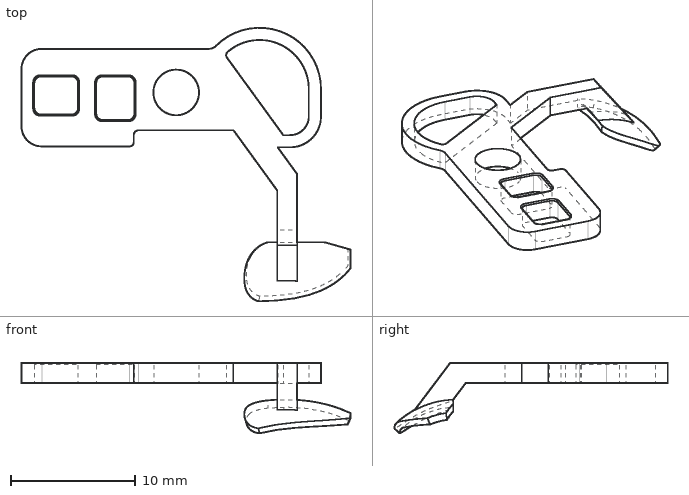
import cadquery as cq
import math

THICKNESS = 1.65
PLATE_WIDTH = 7.88
PLATE_CORNER_RADIUS = 1.65
STEP_X = 9.07
STEP_HEIGHT = 1.3
STEP_RADIUS = 0.37

HOLE_DIAMETER = 3.66
HOLE_CENTER = (12.48, 4.36)
WINDOW_LONG = 3.5
WINDOW_SHORT = 3.05
WINDOW_CORNER_RADIUS = 0.5
WINDOW_CHAMFER = 0.12
WINDOW_CHAMFER_ANGLE = 45
WINDOW_TOP_Y = 5.64
WINDOW_LEFT_X = (1.06, 6.05)

LOOP_CENTER = (19.2, 4.62)
LOOP_RADIUS = 4.96
LOOP_WALL = 1.0
LOOP_LOWER_RADIUS = 2.5
LOOP_BOTTOM_Y = -0.07
LOOP_BLEND_RADIUS = 0.8
LOOP_OPENING_CORNER_RADIUS = 0.35
LOOP_CHORD_POINT = (21.0, 1.08)
UPPER_ARC_MIDWAY = 80
LOWER_ARC_MIDWAY = -45

SLANT = math.tan(math.radians(54.0))
ARM_LEFT_X = 20.62
ARM_WIDTH = 1.6
ARM_LEFT_BEND_Y = -3.55
ARM_RIGHT_BEND_Y = -2.2
ARM_DROP_Y = -7.96
ARM_DROP_SLOPE = math.tan(math.radians(53.0))
ARM_TIP_Y = -10.85
ARM_HEEL_Y = -7.75

BLADE_THICKNESS = 0.61
BLADE_CREST = (21.3, -7.5, -1.29)
BLADE_BACK_Y = -7.72
BARREL_HALF_LENGTH = 7.0
BLADE_LENGTH_RADIUS = 13.5
BLADE_SECTION_RADIUS = 7.0
BLADE_BACK_LEFT_X = 19.8
BLADE_BACK_RIGHT_X = 24.5
BLADE_TIP_X = 26.54
BLADE_TIP_BACK_Y = -8.3
BLADE_TIP_FRONT_Y = -9.8
BLADE_FRONT_LEFT_X = 19.1
BLADE_FRONT_Y = -12.48
BLADE_FRONT_CURVE = ((24.3, -11.55), (21.0, -12.38))
BLADE_LEFT_CURVE = ((18.2, -11.75), (17.97, -10.3), (18.5, -8.7))

arm_right_x = ARM_LEFT_X + ARM_WIDTH
arm_heel_bend_y = ARM_DROP_Y + THICKNESS / ARM_DROP_SLOPE
loop_right_x = LOOP_CENTER[0] + LOOP_RADIUS


def arc_point(center, radius, degrees):
    """Point on a circle at an angle measured from +X."""
    angle = math.radians(degrees)
    return (center[0] + radius * math.cos(angle), center[1] + radius * math.sin(angle))


def fillet_corner(body, x, y, radius):
    """Round the upright edge of a body that stands at (x, y)."""
    corner = cq.selectors.NearestToPointSelector((x, y, THICKNESS / 2))
    return body.edges("|Z").edges(corner).fillet(radius)


def make_plate():
    """Plate, outer edge of the loop and the level part of the arm."""
    slant_left_x = ARM_LEFT_X - (STEP_HEIGHT - ARM_LEFT_BEND_Y) / SLANT
    notch_x = arm_right_x - (LOOP_BOTTOM_Y - ARM_RIGHT_BEND_Y) / SLANT
    lower_center = (loop_right_x - LOOP_LOWER_RADIUS, LOOP_BOTTOM_Y + LOOP_LOWER_RADIUS)
    rise = PLATE_WIDTH - LOOP_CENTER[1]
    loop_start_x = LOOP_CENTER[0] - math.sqrt(LOOP_RADIUS**2 - rise**2)
    plate = (
        cq.Workplane("XY")
        .lineTo(STEP_X, 0)
        .lineTo(STEP_X, STEP_HEIGHT)
        .lineTo(slant_left_x, STEP_HEIGHT)
        .lineTo(ARM_LEFT_X, ARM_LEFT_BEND_Y)
        .lineTo(ARM_LEFT_X, arm_heel_bend_y)
        .lineTo(arm_right_x, arm_heel_bend_y)
        .lineTo(arm_right_x, ARM_RIGHT_BEND_Y)
        .lineTo(notch_x, LOOP_BOTTOM_Y)
        .lineTo(lower_center[0], LOOP_BOTTOM_Y)
        .threePointArc(
            arc_point(lower_center, LOOP_LOWER_RADIUS, LOWER_ARC_MIDWAY),
            (loop_right_x, lower_center[1]),
        )
        .lineTo(loop_right_x, LOOP_CENTER[1])
        .threePointArc(
            arc_point(LOOP_CENTER, LOOP_RADIUS, UPPER_ARC_MIDWAY),
            (loop_start_x, PLATE_WIDTH),
        )
        .lineTo(0, PLATE_WIDTH)
        .close()
        .extrude(THICKNESS)
    )

    plate = fillet_corner(plate, 0, 0, PLATE_CORNER_RADIUS)
    plate = fillet_corner(plate, 0, PLATE_WIDTH, PLATE_CORNER_RADIUS)
    plate = fillet_corner(plate, STEP_X, 0, STEP_RADIUS)
    plate = fillet_corner(plate, STEP_X, STEP_HEIGHT, STEP_RADIUS)
    return fillet_corner(plate, loop_start_x, PLATE_WIDTH, LOOP_BLEND_RADIUS)


def make_loop_opening():
    """Opening of the loop, closed on the plate side by a slanted chord."""
    radius = LOOP_RADIUS - LOOP_WALL
    lower_radius = LOOP_LOWER_RADIUS - LOOP_WALL
    right_x = loop_right_x - LOOP_WALL
    bottom_y = LOOP_BOTTOM_Y + LOOP_WALL
    lower_center = (right_x - lower_radius, bottom_y + lower_radius)

    x0, y0 = LOOP_CHORD_POINT
    foot_x = x0 + (y0 - bottom_y) / SLANT
    dx = foot_x - LOOP_CENTER[0]
    dy = bottom_y - LOOP_CENTER[1]
    ux = -1 / math.hypot(1, SLANT)
    uy = SLANT / math.hypot(1, SLANT)
    along = dx * ux + dy * uy
    reach = -along + math.sqrt(along**2 - dx**2 - dy**2 + radius**2)
    chord_end = (foot_x + reach * ux, bottom_y + reach * uy)
    return (
        cq.Workplane("XY")
        .moveTo(foot_x, bottom_y)
        .lineTo(lower_center[0], bottom_y)
        .threePointArc(arc_point(lower_center, lower_radius, LOWER_ARC_MIDWAY), (right_x, lower_center[1]))
        .lineTo(right_x, LOOP_CENTER[1])
        .threePointArc(arc_point(LOOP_CENTER, radius, UPPER_ARC_MIDWAY), chord_end)
        .close()
        .extrude(THICKNESS)
        .edges("|Z and <X")
        .fillet(LOOP_OPENING_CORNER_RADIUS)
    )


def make_window(left_x, size_x, size_y):
    """Rounded rectangular window with a chamfered upper rim."""
    center = (left_x + size_x / 2, WINDOW_TOP_Y - size_y / 2)
    window = (
        cq.Workplane("XY")
        .center(*center)
        .rect(size_x, size_y)
        .extrude(THICKNESS)
        .edges("|Z")
        .fillet(WINDOW_CORNER_RADIUS)
    )
    rim = (
        window.faces(">Z")
        .wires()
        .toPending()
        .workplane()
        .offset2D(WINDOW_CHAMFER)
        .extrude(-WINDOW_CHAMFER, taper=WINDOW_CHAMFER_ANGLE)
    )
    return window.union(rim)


def make_dropped_arm():
    """Bent end of the arm, running down into the blade."""
    tip_z = THICKNESS - (ARM_DROP_Y - ARM_TIP_Y) * ARM_DROP_SLOPE
    heel_z = -(arm_heel_bend_y - ARM_HEEL_Y) * ARM_DROP_SLOPE
    return (
        cq.Workplane("YZ", origin=(ARM_LEFT_X, 0, 0))
        .moveTo(arm_heel_bend_y, 0)
        .lineTo(arm_heel_bend_y, THICKNESS)
        .lineTo(ARM_DROP_Y, THICKNESS)
        .lineTo(ARM_TIP_Y, tip_z)
        .lineTo(ARM_HEEL_Y, heel_z)
        .close()
        .extrude(ARM_WIDTH)
    )


def make_blade():
    """Shell thickened inward from the part of a barrel surface inside the plan outline."""
    crest_x, crest_y, crest_z = BLADE_CREST
    back_left = (BLADE_BACK_LEFT_X, BLADE_BACK_Y)
    front_left = (BLADE_FRONT_LEFT_X, BLADE_FRONT_Y)
    end_height = (
        BLADE_SECTION_RADIUS
        - BLADE_LENGTH_RADIUS
        + math.sqrt(BLADE_LENGTH_RADIUS**2 - BARREL_HALF_LENGTH**2)
    )
    barrel = (
        cq.Workplane("XZ", origin=(crest_x, crest_y, crest_z - BLADE_SECTION_RADIUS))
        .moveTo(-BARREL_HALF_LENGTH, 0)
        .lineTo(-BARREL_HALF_LENGTH, end_height)
        .threePointArc((0, BLADE_SECTION_RADIUS), (BARREL_HALF_LENGTH, end_height))
        .lineTo(BARREL_HALF_LENGTH, 0)
        .close()
        .revolve(360, (0, 0, 0), (1, 0, 0))
    )
    outline = (
        cq.Workplane("XY", origin=(0, 0, crest_z - BLADE_SECTION_RADIUS))
        .moveTo(*back_left)
        .lineTo(BLADE_BACK_RIGHT_X, BLADE_BACK_Y)
        .lineTo(BLADE_TIP_X, BLADE_TIP_BACK_Y)
        .lineTo(BLADE_TIP_X, BLADE_TIP_FRONT_Y)
        .spline([*BLADE_FRONT_CURVE, front_left], includeCurrent=True)
        .spline([*BLADE_LEFT_CURVE, back_left], includeCurrent=True)
        .close()
        .extrude(BLADE_SECTION_RADIUS)
    )
    top_face = barrel.intersect(outline).faces("%REVOLUTION").val()
    return cq.Workplane("XY").add(top_face.thicken(-BLADE_THICKNESS))


def make_part():
    part = make_plate().cut(make_loop_opening())
    hole = cq.Workplane("XY").center(*HOLE_CENTER).circle(HOLE_DIAMETER / 2).extrude(THICKNESS)
    part = part.cut(hole)
    part = part.cut(make_window(WINDOW_LEFT_X[0], WINDOW_LONG, WINDOW_SHORT))
    part = part.cut(make_window(WINDOW_LEFT_X[1], WINDOW_SHORT, WINDOW_LONG))
    return part.union(make_dropped_arm()).union(make_blade())


result = make_part()